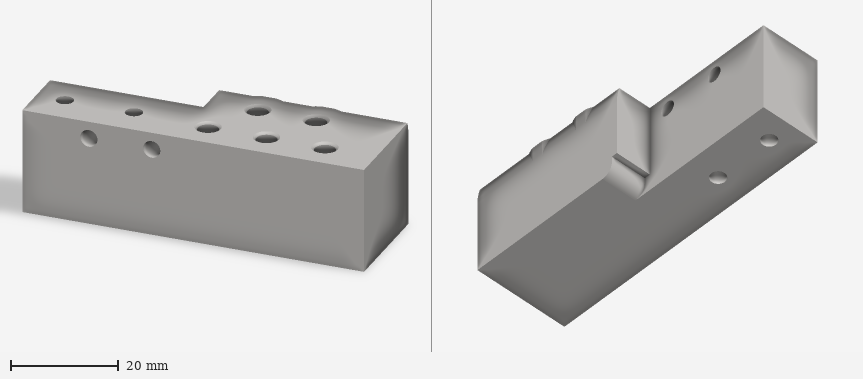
import cadquery as cq
import math

LENGTH = 68.4
WIDTH = 22.2
HEIGHT = 21.0

ARM_WIDTH = 13.8
HEAD_START = 30.7

ARM_HOLE_DIAMETER = 3.4
ARM_VERTICAL_HOLES_X = (5.75, 19.55)
ARM_VERTICAL_HOLES_Y = 6.9
ARM_CROSS_HOLES_X = (13.35, 25.9)
ARM_CROSS_HOLES_BELOW_TOP = 3.4
ARM_CROSS_HOLES_Z = HEIGHT - ARM_CROSS_HOLES_BELOW_TOP

SOCKET_DIAMETER = 4.1
SOCKET_CHAMFER = 0.5
SOCKET_DEPTH = 13.7
SOCKET_PITCH = 11.7
FRONT_ROW_START_X = 34.7
FRONT_ROW_Y = 6.2
FRONT_ROW_COUNT = 3
BACK_ROW_START_X = FRONT_ROW_START_X + SOCKET_PITCH / 2
BACK_ROW_Y = 16.4
BACK_ROW_COUNT = 2

RELIEF_INSET = 0.6
RELIEF_HEIGHT = 4.0
SOCKET_PAD_RADIUS = 5.95

STEP_HEIGHT = 4.0
STEP_DEPTH = 1.4
STEP_EDGE_RADIUS = 2.5


def row_of_points(start_x, y, count):
    return [(start_x + i * SOCKET_PITCH, y) for i in range(count)]


BACK_ROW = row_of_points(BACK_ROW_START_X, BACK_ROW_Y, BACK_ROW_COUNT)
FRONT_ROW = row_of_points(FRONT_ROW_START_X, FRONT_ROW_Y, FRONT_ROW_COUNT)


def make_body():
    """L-shaped block with its -X, -Y, bottom corner at the origin."""
    outline = [
        (0, 0),
        (LENGTH, 0),
        (LENGTH, WIDTH),
        (HEAD_START, WIDTH),
        (HEAD_START, ARM_WIDTH),
        (0, ARM_WIDTH),
    ]
    return cq.Workplane("XY").polyline(outline).close().extrude(HEIGHT)


def make_edge_relief():
    """Cutter for the top +Y edge: an arc tangent to the +Y face, minus the round socket pads."""
    radius = (RELIEF_HEIGHT**2 + RELIEF_INSET**2) / (2 * RELIEF_INSET)
    half_angle = math.asin(RELIEF_HEIGHT / radius) / 2
    relief_base = HEIGHT - RELIEF_HEIGHT
    arc_middle = (
        WIDTH - radius + radius * math.cos(half_angle),
        relief_base + radius * math.sin(half_angle),
    )
    strip = (
        cq.Workplane("YZ", origin=(HEAD_START, 0, 0))
        .moveTo(WIDTH, relief_base)
        .threePointArc(arc_middle, (WIDTH - RELIEF_INSET, HEIGHT))
        .lineTo(WIDTH, HEIGHT)
        .close()
        .extrude(LENGTH - HEAD_START)
    )
    pad = cq.Workplane("XY").circle(SOCKET_PAD_RADIUS).extrude(HEIGHT)
    for x, y in BACK_ROW:
        strip = strip.cut(pad.translate((x, y, 0)))
    return strip


def make_head_step():
    """Cutter that sets back the foot of the head's -X face and rounds its lower edge."""
    step_face = HEAD_START + STEP_DEPTH
    round_end = step_face + STEP_EDGE_RADIUS
    return (
        cq.Workplane("XZ", origin=(0, ARM_WIDTH, 0))
        .moveTo(HEAD_START, 0)
        .lineTo(round_end, 0)
        .radiusArc((step_face, STEP_EDGE_RADIUS), STEP_EDGE_RADIUS)
        .lineTo(step_face, STEP_HEIGHT)
        .lineTo(HEAD_START, STEP_HEIGHT)
        .close()
        .extrude(ARM_WIDTH - WIDTH)
    )


def make_arm_holes():
    """Vertical holes and cross holes that pass right through the arm."""
    vertical_points = [(x, ARM_VERTICAL_HOLES_Y) for x in ARM_VERTICAL_HOLES_X]
    cross_points = [(x, ARM_CROSS_HOLES_Z) for x in ARM_CROSS_HOLES_X]
    radius = ARM_HOLE_DIAMETER / 2
    vertical = cq.Workplane("XY").pushPoints(vertical_points).circle(radius).extrude(HEIGHT)
    cross = cq.Workplane("XZ").pushPoints(cross_points).circle(radius).extrude(-ARM_WIDTH)
    return vertical.union(cross)


def make_sockets():
    """Flat-bottomed holes with a 45 degree chamfer at the top face."""
    radius = SOCKET_DIAMETER / 2
    profile = [
        (0, HEIGHT),
        (radius + SOCKET_CHAMFER, HEIGHT),
        (radius, HEIGHT - SOCKET_CHAMFER),
        (radius, HEIGHT - SOCKET_DEPTH),
        (0, HEIGHT - SOCKET_DEPTH),
    ]
    socket = cq.Workplane("XZ").polyline(profile).close().revolve(360, (0, 0), (0, 1))
    sockets = cq.Workplane("XY")
    for x, y in FRONT_ROW + BACK_ROW:
        sockets = sockets.union(socket.translate((x, y, 0)))
    return sockets


result = (
    make_body()
    .cut(make_edge_relief())
    .cut(make_head_step())
    .cut(make_arm_holes())
    .cut(make_sockets())
)